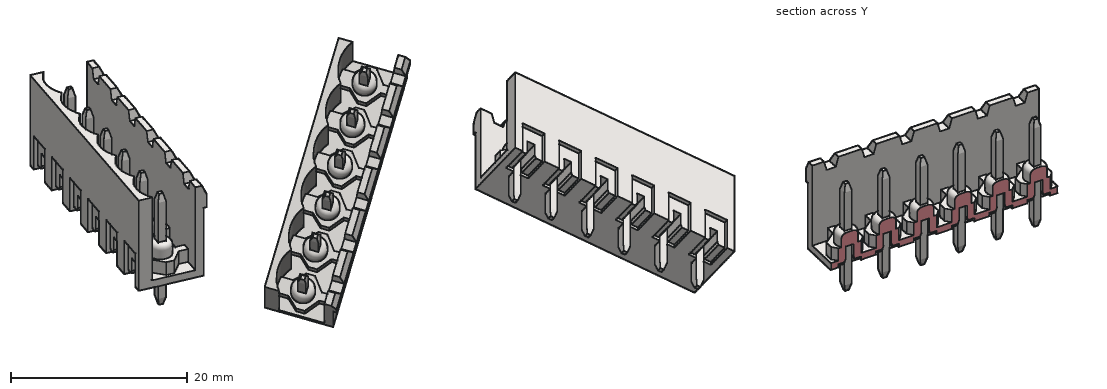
import cadquery as cq

LENGTH = 30.0
POLES = 6
PITCH = LENGTH / POLES
HEIGHT = 12.0
DEPTH = 8.1
POLE_XS = [(i + 0.5) * PITCH for i in range(POLES)]

FRONT_WALL = 1.7
TROUGH_BACK = 7.05
FLOOR = 1.0

LIP_BACK = 8.5
LIP_BOTTOM = 9.0
BEVEL_DEPTH = 0.6
BEVEL_HEIGHT = 1.25

NOTCH_TOP_WIDTH = 1.92
NOTCH_BOTTOM_WIDTH = 1.2
NOTCH_DEPTH = 1.25

SCALLOP_SAGITTA = 0.87

PIN_SIZE = 1.0
PIN_Y = 3.8
PIN_TOP = 10.75
PIN_BOTTOM = -4.0
TIP_SIZE = 0.48
TIP_LENGTH = 1.0
PIN_FRONT = PIN_Y - PIN_SIZE / 2

PAD_TOP = 2.7
PAD_WIDTH = 4.2
PAD_NECK_WIDTH = 1.0
PAD_STEM_WIDTH = 1.9
PAD_STEM_END = 2.35
PAD_WIDE_START = 3.6
PAD_WIDE_END = 4.62
PAD_NECK_START = 5.88
BOSS_DIAMETER = 2.8
BOSS_TOP = 4.5
BOSS_FILLET = 0.63

RECESS_WIDTH = 3.0
RECESS_HEIGHT = 4.45
RECESS_DEPTH = 0.5
SLOT_HEIGHT = 2.52
CHANNEL_HEIGHT = 0.45
LEAD_IN_WIDTH = 0.15
LEAD_IN_HEIGHT = 0.42


def make_trough():
    """U-shaped profile with the bevelled latch lip, extruded along X."""
    profile = [
        (0, 0),
        (DEPTH, 0),
        (DEPTH, LIP_BOTTOM),
        (LIP_BACK, LIP_BOTTOM),
        (LIP_BACK, HEIGHT - BEVEL_HEIGHT),
        (LIP_BACK - BEVEL_DEPTH, HEIGHT),
        (TROUGH_BACK, HEIGHT),
        (TROUGH_BACK, FLOOR),
        (FRONT_WALL, FLOOR),
        (FRONT_WALL, HEIGHT),
        (0, HEIGHT),
    ]
    return cq.Workplane("YZ").polyline(profile).close().extrude(LENGTH)


def make_scallop(x):
    """Circular segment removed from the front wall, down to the floor."""
    return (
        cq.Workplane("XY", origin=(x, FRONT_WALL, FLOOR))
        .moveTo(-PITCH / 2, 0)
        .threePointArc((0, -SCALLOP_SAGITTA), (PITCH / 2, 0))
        .close()
        .extrude(HEIGHT - FLOOR)
    )


def make_notch(x):
    """Tapered notch through the back wall and its lip."""
    return (
        cq.Workplane("XZ", origin=(x, TROUGH_BACK, HEIGHT))
        .moveTo(-NOTCH_TOP_WIDTH / 2, 0)
        .lineTo(-NOTCH_BOTTOM_WIDTH / 2, -NOTCH_DEPTH)
        .lineTo(NOTCH_BOTTOM_WIDTH / 2, -NOTCH_DEPTH)
        .lineTo(NOTCH_TOP_WIDTH / 2, 0)
        .close()
        .extrude(TROUGH_BACK - LIP_BACK)
    )


def make_pad(x):
    """Octagonal pad joined to the back wall by a neck and to the front wall by a stem."""
    right_side = [
        (PAD_STEM_WIDTH / 2, FRONT_WALL - SCALLOP_SAGITTA),
        (PAD_STEM_WIDTH / 2, PAD_STEM_END),
        (PAD_WIDTH / 2, PAD_WIDE_START),
        (PAD_WIDTH / 2, PAD_WIDE_END),
        (PAD_NECK_WIDTH / 2, PAD_NECK_START),
        (PAD_NECK_WIDTH / 2, TROUGH_BACK),
    ]
    left_side = [(-px, py) for px, py in reversed(right_side)]
    return (
        cq.Workplane("XY", origin=(x, 0, FLOOR))
        .polyline(right_side + left_side)
        .close()
        .extrude(PAD_TOP - FLOOR)
    )


def make_boss(x):
    """Round boss on the pad with a rounded top edge."""
    return (
        cq.Workplane("XY", origin=(x, PIN_Y, PAD_TOP))
        .circle(BOSS_DIAMETER / 2)
        .extrude(BOSS_TOP - PAD_TOP)
        .faces(">Z")
        .edges()
        .fillet(BOSS_FILLET)
    )


def make_front_cut(width, depth, height):
    """Block centred on X = 0, reaching back from the front face and up from the bottom."""
    return cq.Workplane("XY").box(width, depth, height, centered=(True, False, False))


def make_front_opening(x):
    """Front recess, bottom channel and flared pin slot, to be cut from the housing."""
    recess = make_front_cut(RECESS_WIDTH, RECESS_DEPTH, RECESS_HEIGHT)
    channel = make_front_cut(RECESS_WIDTH, PIN_FRONT, CHANNEL_HEIGHT)
    slot = make_front_cut(PIN_SIZE, PIN_FRONT, SLOT_HEIGHT)
    lead_in = (
        cq.Workplane("XZ")
        .moveTo(-PIN_SIZE / 2 - LEAD_IN_WIDTH, CHANNEL_HEIGHT)
        .lineTo(PIN_SIZE / 2 + LEAD_IN_WIDTH, CHANNEL_HEIGHT)
        .lineTo(PIN_SIZE / 2, CHANNEL_HEIGHT + LEAD_IN_HEIGHT)
        .lineTo(-PIN_SIZE / 2, CHANNEL_HEIGHT + LEAD_IN_HEIGHT)
        .close()
        .extrude(-PIN_FRONT)
    )
    return recess.union(channel).union(slot).union(lead_in).translate((x, 0, 0))


def make_pin_hole(x):
    """Square hole through floor, pad and boss that fits the pin."""
    return cq.Workplane("XY", origin=(x, PIN_Y, 0)).rect(PIN_SIZE, PIN_SIZE).extrude(BOSS_TOP)


def make_housing():
    """Trough with its pads and bosses, and all cuts for the poles."""
    housing = make_trough()
    for x in POLE_XS:
        housing = housing.cut(make_scallop(x)).cut(make_notch(x))
        housing = housing.union(make_pad(x)).union(make_boss(x))
        housing = housing.cut(make_front_opening(x)).cut(make_pin_hole(x))
    return housing


def make_tip(x, base_z, direction):
    """Tapered pin end; direction is +1 for upward, -1 for downward."""
    return (
        cq.Workplane("XY", origin=(x, PIN_Y, base_z))
        .rect(PIN_SIZE, PIN_SIZE)
        .workplane(offset=direction * TIP_LENGTH)
        .rect(TIP_SIZE, TIP_SIZE)
        .loft()
    )


def make_pin(x):
    """Square pin with tapered ends."""
    shank_bottom = PIN_BOTTOM + TIP_LENGTH
    shank_top = PIN_TOP - TIP_LENGTH
    shank = (
        cq.Workplane("XY", origin=(x, PIN_Y, shank_bottom))
        .rect(PIN_SIZE, PIN_SIZE)
        .extrude(shank_top - shank_bottom)
    )
    return shank.union(make_tip(x, shank_top, 1)).union(make_tip(x, shank_bottom, -1))


housing = make_housing()
pins = [make_pin(x) for x in POLE_XS]

pin_solids = [pin.solids().val() for pin in pins]

result = cq.Compound.makeCompound([housing.solids().val(), *pin_solids])